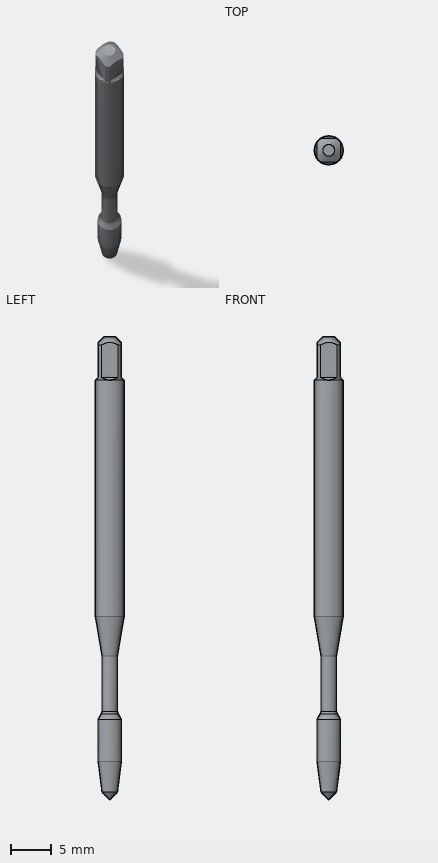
import cadquery as cq

total_length = 56.8

drive_diameter = 3.45
drive_flats = 2.85
drive_tip_diameter = 1.4
drive_base_z = 51.45
flat_base_z = 51.8

shank_diameter = 3.6
shank_base_z = 22.5
neck_diameter = 1.95
neck_top_z = 17.65
neck_flare_z = 10.85

head_diameter = 2.9
head_collar_diameter = 2.15
head_top_z = 10.55
head_shoulder_z = 9.9
lead_top_z = 4.7
lead_base_diameter = 1.95
point_height = lead_base_diameter / 2


def revolve_profile(points):
    """Revolve a closed (radius, z) outline about the Z axis."""
    return cq.Workplane("XZ").polyline(points).close().revolve(360, (0, 0, 0), (0, 1, 0))


def make_flat_cutter():
    """Wedge-ended block that leaves one drive flat on the +X side."""
    flat_offset = drive_flats / 2
    reach = shank_diameter
    return (
        cq.Workplane("XZ")
        .moveTo(flat_offset, flat_base_z)
        .lineTo(reach, flat_base_z - (reach - flat_offset))
        .lineTo(reach, total_length)
        .lineTo(flat_offset, total_length)
        .close()
        .extrude(shank_diameter / 2, both=True)
    )


def make_shank():
    """Square-ended shank with its tapered transition and neck."""
    drive_radius = drive_diameter / 2
    tip_radius = drive_tip_diameter / 2
    chamfer_height = drive_radius - tip_radius
    shank = revolve_profile([
        (0, head_top_z),
        (head_collar_diameter / 2, head_top_z),
        (neck_diameter / 2, neck_flare_z),
        (neck_diameter / 2, neck_top_z),
        (shank_diameter / 2, shank_base_z),
        (shank_diameter / 2, drive_base_z),
        (drive_radius, drive_base_z),
        (drive_radius, total_length - chamfer_height),
        (tip_radius, total_length),
        (0, total_length),
    ])
    cutter = make_flat_cutter()
    for angle in (0, 90, 180, 270):
        shank = shank.cut(cutter.rotate((0, 0, 0), (0, 0, 1), angle))
    return shank


def make_cutting_head():
    """Cylindrical head with a shouldered top, tapered lead and conical point."""
    return revolve_profile([
        (0, 0),
        (lead_base_diameter / 2, point_height),
        (head_diameter / 2, lead_top_z),
        (head_diameter / 2, head_shoulder_z),
        (head_collar_diameter / 2, head_top_z),
        (0, head_top_z),
    ])


shank = make_shank()
cutting_head = make_cutting_head()

result = cq.Compound.makeCompound([shank.val(), cutting_head.val()])